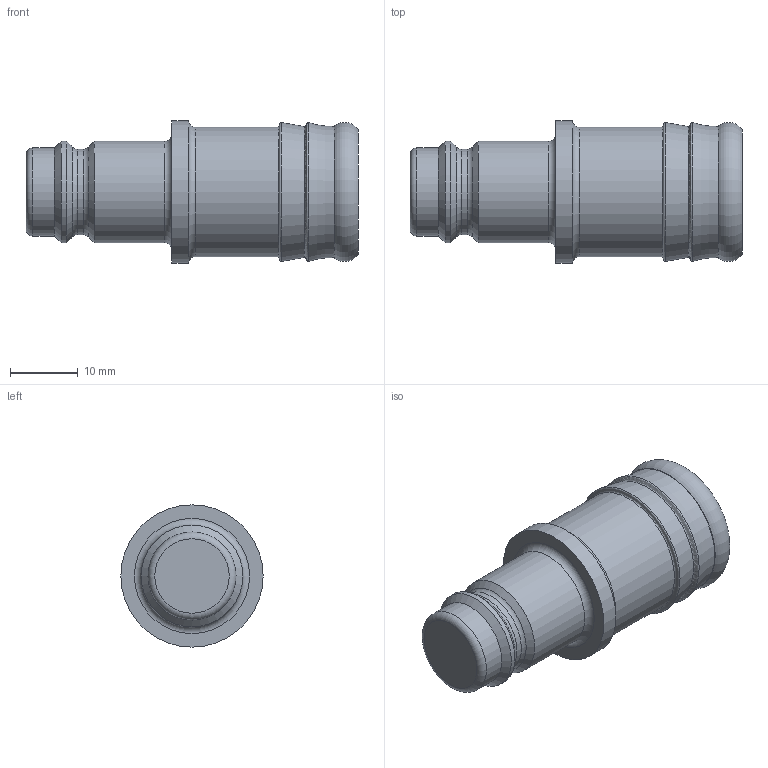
import cadquery as cq
import math

LENGTH = 49.0

TIP_RADIUS = 13.0 / 2
TIP_FILLET = 1.0
COLLAR_START = 4.2

SHANK_RADIUS = 15.0 / 2
GROOVE_CENTER = 8.0
GROOVE_RADIUS = 12.65 / 2
GROOVE_TOP_WIDTH = 4.1
GROOVE_FILLET = 1.0
FLANK_ANGLE = math.radians(45)

FLANGE_START = 21.5
FLANGE_END = 24.0
FLANGE_RADIUS = 21.0 / 2
SHANK_FILLET = 1.0

BARREL_RADIUS = 19.1 / 2
BARREL_FILLET = FLANGE_RADIUS - BARREL_RADIUS

FIRST_BARB_START = 37.2
FIRST_BARB_CREST = 37.65
BARB_PITCH = 4.0
BARB_RADIUS = 10.25
FIRST_TAPER_END = 41.08
TAPER_END_RADIUS = 9.65

BEAD_START = 45.5
BEAD_CREST = 47.0
BEAD_ARC_RADIUS = 2.5


def arc_middle(center, radius, angle_degrees):
    """Point on a circle, used as the middle point of an arc."""
    angle = math.radians(angle_degrees)
    return (center[0] + radius * math.cos(angle), center[1] + radius * math.sin(angle))


def draw_tip(profile):
    """End face, rounded edge, and cone up to the shank collar."""
    fillet_center = (TIP_FILLET, TIP_RADIUS - TIP_FILLET)
    collar_top = COLLAR_START + SHANK_RADIUS - TIP_RADIUS
    profile = profile.lineTo(0, TIP_RADIUS - TIP_FILLET)
    profile = profile.threePointArc(arc_middle(fillet_center, TIP_FILLET, 135), (TIP_FILLET, TIP_RADIUS))
    profile = profile.lineTo(COLLAR_START, TIP_RADIUS)
    return profile.lineTo(collar_top, SHANK_RADIUS)


def draw_groove(profile):
    """Symmetric groove: sloped flanks blended into a flat floor."""
    fillet_length = GROOVE_FILLET * math.sin(FLANK_ANGLE)
    flank_foot_radius = GROOVE_RADIUS + GROOVE_FILLET * (1 - math.cos(FLANK_ANGLE))
    top_offset = GROOVE_TOP_WIDTH / 2
    foot_offset = top_offset - (SHANK_RADIUS - flank_foot_radius) / math.tan(FLANK_ANGLE)
    floor_offset = foot_offset - fillet_length
    fillet_center_radius = GROOVE_RADIUS + GROOVE_FILLET
    half_flank = math.degrees(FLANK_ANGLE) / 2
    left_center = (GROOVE_CENTER - floor_offset, fillet_center_radius)
    right_center = (GROOVE_CENTER + floor_offset, fillet_center_radius)

    profile = profile.lineTo(GROOVE_CENTER - top_offset, SHANK_RADIUS)
    profile = profile.lineTo(GROOVE_CENTER - foot_offset, flank_foot_radius)
    profile = profile.threePointArc(
        arc_middle(left_center, GROOVE_FILLET, -90 - half_flank),
        (GROOVE_CENTER - floor_offset, GROOVE_RADIUS),
    )
    profile = profile.lineTo(GROOVE_CENTER + floor_offset, GROOVE_RADIUS)
    profile = profile.threePointArc(
        arc_middle(right_center, GROOVE_FILLET, -90 + half_flank),
        (GROOVE_CENTER + foot_offset, flank_foot_radius),
    )
    return profile.lineTo(GROOVE_CENTER + top_offset, SHANK_RADIUS)


def draw_flange(profile):
    """Flange with a concave fillet on each side."""
    left_center = (FLANGE_START - SHANK_FILLET, SHANK_RADIUS + SHANK_FILLET)
    right_center = (FLANGE_END + BARREL_FILLET, FLANGE_RADIUS)
    profile = profile.lineTo(FLANGE_START - SHANK_FILLET, SHANK_RADIUS)
    profile = profile.threePointArc(
        arc_middle(left_center, SHANK_FILLET, -45),
        (FLANGE_START, SHANK_RADIUS + SHANK_FILLET),
    )
    profile = profile.lineTo(FLANGE_START, FLANGE_RADIUS)
    profile = profile.lineTo(FLANGE_END, FLANGE_RADIUS)
    return profile.threePointArc(
        arc_middle(right_center, BARREL_FILLET, -135),
        (FLANGE_END + BARREL_FILLET, BARREL_RADIUS),
    )


def draw_barb_front(profile, crest):
    """Smooth S-shaped rise that leaves and arrives parallel to the axis."""
    along_axis = (1, 0)
    return profile.spline([(crest, BARB_RADIUS)], tangents=[along_axis, along_axis], includeCurrent=True)


def draw_barbs(profile):
    """Straight taper on the first barb, tangent concave taper on the second."""
    second_crest = FIRST_BARB_CREST + BARB_PITCH
    profile = profile.lineTo(FIRST_BARB_START, BARREL_RADIUS)
    profile = draw_barb_front(profile, FIRST_BARB_CREST)
    profile = profile.lineTo(FIRST_TAPER_END, TAPER_END_RADIUS)
    profile = draw_barb_front(profile, second_crest)

    run = BEAD_START - second_crest
    drop = BARB_RADIUS - TAPER_END_RADIUS
    taper_arc_radius = (run**2 + drop**2) / (2 * drop)
    taper_center = (BEAD_START, TAPER_END_RADIUS + taper_arc_radius)
    half_sweep = math.degrees(math.asin(run / taper_arc_radius)) / 2
    return profile.threePointArc(
        arc_middle(taper_center, taper_arc_radius, -90 - half_sweep),
        (BEAD_START, TAPER_END_RADIUS),
    )


def draw_bead(profile):
    """Rounded bead, as high as the barbs, cut off by the flat end face."""
    center_radius = BARB_RADIUS - BEAD_ARC_RADIUS
    end_radius = center_radius + math.sqrt(BEAD_ARC_RADIUS**2 - (LENGTH - BEAD_CREST) ** 2)
    bead_start_radius = center_radius + math.sqrt(BEAD_ARC_RADIUS**2 - (BEAD_CREST - BEAD_START) ** 2)
    profile = profile.lineTo(BEAD_START, bead_start_radius)
    profile = profile.threePointArc((BEAD_CREST, BARB_RADIUS), (LENGTH, end_radius))
    return profile.lineTo(LENGTH, 0)


profile = cq.Workplane("XY").moveTo(0, 0)
for draw_section in (draw_tip, draw_groove, draw_flange, draw_barbs, draw_bead):
    profile = draw_section(profile)

result = profile.close().revolve(360, (0, 0, 0), (1, 0, 0))